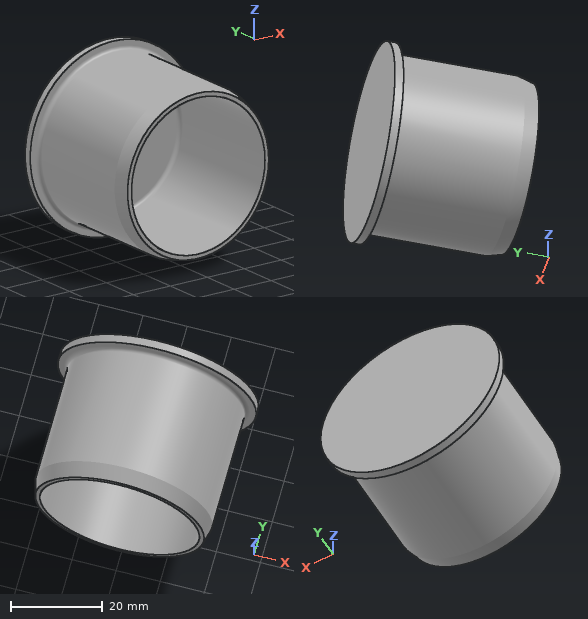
import cadquery as cq
import math

flange_diameter = 45.0
body_diameter = 40.15
bore_diameter = 36.15
length = 33.5
flange_thickness = 2.0
floor_thickness = flange_thickness
fillet_radius = 1.0
lead_in_length = 3.5
lead_in_angle = 15.0

tip_diameter = body_diameter - 2 * lead_in_length * math.tan(math.radians(lead_in_angle))


def cylinder(diameter, start, end):
    """Cylinder along Y between two positions."""
    return cq.Workplane("XZ", origin=(0, start, 0)).circle(diameter / 2).extrude(start - end)


def make_lead_in():
    """Tapered open end of the sleeve, narrowest at Y = 0."""
    return (
        cq.Workplane("XY")
        .lineTo(tip_diameter / 2, 0)
        .lineTo(body_diameter / 2, lead_in_length)
        .lineTo(0, lead_in_length)
        .close()
        .revolve(360, (0, 0, 0), (0, 1, 0))
    )


def make_outside():
    """Flange and sleeve, with a fillet where they meet."""
    flange_face = length - flange_thickness
    flange = cylinder(flange_diameter, flange_face, length)
    sleeve = cylinder(body_diameter, lead_in_length, flange_face)
    root = cq.selectors.RadiusNthSelector(0)
    body = flange.union(sleeve)
    body = body.faces(cq.selectors.NearestToPointSelector(
        (flange_diameter / 2, flange_face, 0))).edges(root).fillet(fillet_radius)
    return body.union(make_lead_in())


def make_bore():
    """Blind bore with a rounded floor corner."""
    return cylinder(bore_diameter, 0, length - floor_thickness).faces(">Y").edges().fillet(fillet_radius)


result = make_outside().cut(make_bore())